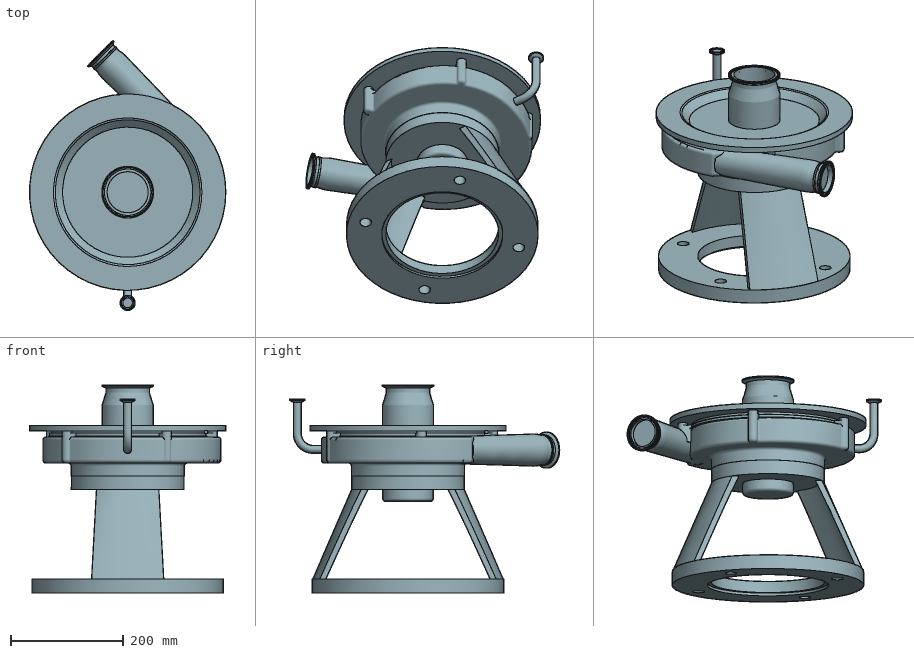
import cadquery as cq
import math

base_radius = 170.5
base_thickness = 25.0
base_opening_radius = 100.5
base_recess_radius = 107.5
base_recess_depth = 5.0
base_hole_radius = 10.0
base_hole_circle_radius = 140.0
base_hole_count = 4
base_hole_first_angle = 45

leg_height = 159.0
leg_top_outer_radius = 100.5
leg_bottom_outer_radius = 169.5
leg_wall = 10.0
leg_top_half_width = 55.7
leg_bottom_half_width = 64.5

ring_radius = 101.0
ring_height = 47.0
ring_seam_height = 24.5
ring_seam_step = 0.5
ring_top_fillet = 5.5
hub_radius = 45.0
hub_length = 21.0
hub_fillet = 5.5

casing_height = 46.5
casing_edge_fillet = 6.0
casing_reach_front = 154.2
casing_reach_left = 151.0
casing_reach_back = 143.0
casing_reach_right = 166.5
ledge_radius = 141.5
ledge_height = 1.5
flange_radius = 139.5
flange_height = 6.5
neck_radius = 137.0
neck_height = 4.5

lug_count = 5
lug_first_angle = 9.0
bulge_lug_count = 2
lug_circle_radius = 153.0
lug_radius = 8.5
lug_fillet = 3.0

cover_radius = 175.0
cover_thickness = 9.5
dish_rim_radius = 132.0
dish_wall_top_radius = 129.0
dish_floor_radius = 116.0
dish_rim_depth = 1.5
dish_depth = 15.0

suction_radius = 45.5
suction_neck_radius = 39.0
suction_lip_radius = 46.0
suction_bore_radius = 36.5
suction_wide_bore_radius = 43.2
suction_shoulder_z = 334.5
suction_neck_z = 356.0
suction_bore_end_z = 342.5
suction_wide_bore_z = 325.5

discharge_angle = 45
discharge_offset = 140.5
discharge_length = 209.5
discharge_root_radius = 25.0
discharge_radius = 28.5
discharge_neck_radius = 27.0
discharge_lip_radius = 32.0
discharge_bore_radius = 24.5
discharge_bore_depth = 9.5
discharge_bead_radius = 28.0
discharge_bead_start = 11.0
discharge_bead_end = 14.5
discharge_reducer_start = 19.5
discharge_reducer_end = 27.0
discharge_widest_radius = 29.0
discharge_widest_at = 34.0

drain_radius = 7.0
drain_lip_radius = 13.5
drain_y = -197.0
drain_bend_radius = 28.5
drain_inlet_z = 255.5
drain_top_z = 345.0

lip_edge = 2.5
lip_length = 6.0
groove_depth = 1.0
groove_width = 2.5
groove_margin = 2.5

ring_bottom_z = base_thickness + leg_height
casing_bottom_z = ring_bottom_z + ring_height
casing_top_z = casing_bottom_z + casing_height
casing_mid_z = (casing_bottom_z + casing_top_z) / 2
flange_top_z = casing_top_z + flange_height
cover_bottom_z = flange_top_z + neck_height
cover_top_z = cover_bottom_z + cover_thickness
dish_floor_z = cover_top_z - dish_depth
suction_top_z = 370.5


def cylinder(radius, bottom, top, x=0, y=0):
    return cq.Workplane("XY", origin=(x, y, bottom)).circle(radius).extrude(top - bottom)


def turned(profile):
    """Revolve (radius, height) points about the Z axis."""
    return cq.Workplane("XZ").polyline(profile).close().revolve(360, (0, 0), (0, 1))


def face_groove(lip_radius, face_z):
    """Gasket groove in the end face of a clamp lip."""
    outer_radius = lip_radius - groove_margin
    return (cq.Workplane("XY", origin=(0, 0, face_z))
            .circle(outer_radius).circle(outer_radius - groove_width)
            .extrude(-groove_depth))


def make_base():
    base = cylinder(base_radius, 0, base_thickness)
    base = base.cut(cylinder(base_opening_radius, 0, base_thickness))
    base = base.cut(cylinder(base_recess_radius, 0, base_recess_depth))
    holes = (cq.Workplane("XY")
             .polarArray(base_hole_circle_radius, base_hole_first_angle, 360, base_hole_count)
             .circle(base_hole_radius).extrude(base_thickness))
    return base.cut(holes)


def make_legs():
    shell = turned([
        (leg_bottom_outer_radius - leg_wall, base_thickness),
        (leg_bottom_outer_radius, base_thickness),
        (leg_top_outer_radius, ring_bottom_z),
        (leg_top_outer_radius - leg_wall, ring_bottom_z),
    ])
    strip = (cq.Workplane("XZ")
             .polyline([(-leg_bottom_half_width, base_thickness),
                        (leg_bottom_half_width, base_thickness),
                        (leg_top_half_width, ring_bottom_z),
                        (-leg_top_half_width, ring_bottom_z)])
             .close().extrude(base_radius, both=True))
    return shell.intersect(strip)


def make_ring_and_hub():
    seam_z = ring_bottom_z + ring_seam_height
    fillet_bottom_z = casing_bottom_z - ring_top_fillet
    fillet_mid = ring_top_fillet * (1 - math.sqrt(0.5))
    lower = cylinder(ring_radius - ring_seam_step, ring_bottom_z, seam_z)
    upper = (cq.Workplane("XZ")
             .moveTo(0, seam_z).lineTo(ring_radius, seam_z)
             .lineTo(ring_radius, fillet_bottom_z)
             .threePointArc((ring_radius + fillet_mid, casing_bottom_z - fillet_mid),
                            (ring_radius + ring_top_fillet, casing_bottom_z))
             .lineTo(0, casing_bottom_z).close()
             .revolve(360, (0, 0), (0, 1)))
    hub = cylinder(hub_radius, ring_bottom_z - hub_length, ring_bottom_z)
    hub = hub.faces("<Z").edges().fillet(hub_fillet)
    return lower.union(upper).union(hub)


def lug_body(bottom, top):
    """A round-ended bar pointing outward along X."""
    inner = neck_radius - lug_radius
    bar = (cq.Workplane("XY", origin=(inner, 0, bottom))
           .rect(lug_circle_radius - inner, 2 * lug_radius, centered=(False, True))
           .extrude(top - bottom))
    return bar.union(cylinder(lug_radius, bottom, top, x=lug_circle_radius))


def place_lug(lug, index):
    return lug.rotate((0, 0, 0), (0, 0, 1), lug_first_angle + index * 360 / lug_count)


def make_casing():
    small = (casing_reach_front + casing_reach_back) / 2
    small_x = small - casing_reach_left
    small_y = small - casing_reach_front
    outlet_reach = discharge_offset + discharge_root_radius
    cosine = math.cos(math.radians(discharge_angle))
    sine = math.sin(math.radians(discharge_angle))
    large = ((outlet_reach - casing_reach_right * cosine + casing_reach_front * sine)
             / (1 - cosine + sine))
    large_x = casing_reach_right - large
    large_y = large - casing_reach_front
    outlet_x = large_x + large * cosine
    outlet_y = large_y + large * sine
    casing = (cq.Workplane("XY", origin=(0, 0, casing_bottom_z))
              .moveTo(small_x, casing_reach_back)
              .threePointArc((-casing_reach_left, small_y), (small_x, -casing_reach_front))
              .lineTo(large_x, -casing_reach_front)
              .threePointArc((casing_reach_right, large_y),
                             (outlet_x, outlet_y))
              .close().extrude(casing_height))
    for index in range(bulge_lug_count, lug_count):
        casing = casing.union(place_lug(lug_body(casing_bottom_z, casing_top_z), index))
    casing = casing.edges("|Z").fillet(lug_fillet)
    casing = casing.faces("<Z or >Z").edges().fillet(casing_edge_fillet)
    ledge = cylinder(ledge_radius, casing_top_z, casing_top_z + ledge_height)
    flange = cylinder(flange_radius, casing_top_z, flange_top_z)
    neck = cylinder(neck_radius, flange_top_z, cover_bottom_z)
    return casing.union(ledge).union(flange).union(neck)


def make_lug_posts():
    """Each lug rises from the casing to the cover, with a web up to the flange."""
    post = cylinder(lug_radius, casing_mid_z, cover_bottom_z, x=lug_circle_radius)
    post = post.union(lug_body(casing_mid_z, flange_top_z))
    posts = cq.Workplane("XY")
    for index in range(lug_count):
        posts = posts.union(place_lug(post, index))
    return posts


def make_cover():
    return cylinder(cover_radius, cover_bottom_z, cover_top_z)


def make_dish():
    rim_z = cover_top_z - dish_rim_depth
    return turned([
        (0, dish_floor_z), (dish_floor_radius, dish_floor_z),
        (dish_wall_top_radius, rim_z), (dish_rim_radius, cover_top_z),
        (0, cover_top_z),
    ])


def make_suction_pipe():
    pipe = turned([
        (0, dish_floor_z), (suction_radius, dish_floor_z),
        (suction_radius, suction_shoulder_z),
        (suction_neck_radius, suction_neck_z),
        (suction_neck_radius, suction_top_z - lip_length),
        (suction_lip_radius, suction_top_z - lip_edge),
        (suction_lip_radius, suction_top_z), (0, suction_top_z),
    ])
    bore = turned([
        (0, dish_floor_z), (suction_wide_bore_radius, dish_floor_z),
        (suction_wide_bore_radius, suction_wide_bore_z),
        (suction_bore_radius, suction_bore_end_z),
        (suction_bore_radius, suction_top_z), (0, suction_top_z),
    ])
    groove = face_groove(suction_lip_radius, suction_top_z)
    return pipe.cut(bore).cut(groove)


def make_discharge_pipe():
    end = discharge_length
    pipe = turned([
        (0, 0), (discharge_root_radius, 0),
        (discharge_widest_radius, end - discharge_widest_at),
        (discharge_radius, end - discharge_reducer_end),
        (discharge_neck_radius, end - discharge_reducer_start),
        (discharge_neck_radius, end - discharge_bead_end),
        (discharge_bead_radius, end - discharge_bead_end),
        (discharge_bead_radius, end - discharge_bead_start),
        (discharge_neck_radius, end - discharge_bead_start),
        (discharge_neck_radius, end - lip_length),
        (discharge_lip_radius, end - lip_edge),
        (discharge_lip_radius, end), (0, end),
    ])
    pipe = pipe.cut(cylinder(discharge_bore_radius, end - discharge_bore_depth, end))
    pipe = pipe.cut(face_groove(discharge_lip_radius, end))
    return (pipe.rotate((0, 0, 0), (1, 0, 0), -90)
            .translate((discharge_offset, 0, casing_mid_z))
            .rotate((0, 0, 0), (0, 0, 1), discharge_angle))


def make_drain_pipe():
    bend_start_y = drain_y + drain_bend_radius
    bend_end_z = drain_inlet_z + drain_bend_radius
    bend_mid = drain_bend_radius * math.sqrt(0.5)
    path = (cq.Workplane("YZ")
            .moveTo(-neck_radius, drain_inlet_z).lineTo(bend_start_y, drain_inlet_z)
            .threePointArc((bend_start_y - bend_mid, bend_end_z - bend_mid),
                           (drain_y, bend_end_z))
            .lineTo(drain_y, drain_top_z))
    pipe = (cq.Workplane("XZ", origin=(0, -neck_radius, drain_inlet_z))
            .circle(drain_radius).sweep(path))
    lip = turned([
        (0, drain_top_z - lip_length), (drain_radius, drain_top_z - lip_length),
        (drain_lip_radius, drain_top_z - lip_edge),
        (drain_lip_radius, drain_top_z), (0, drain_top_z),
    ]).cut(face_groove(drain_lip_radius, drain_top_z))
    return pipe.union(lip.translate((0, drain_y, 0)))


result = (make_base()
          .union(make_legs())
          .union(make_ring_and_hub())
          .union(make_casing())
          .union(make_discharge_pipe())
          .union(make_lug_posts())
          .union(make_cover())
          .cut(make_dish())
          .union(make_suction_pipe())
          .union(make_drain_pipe()))